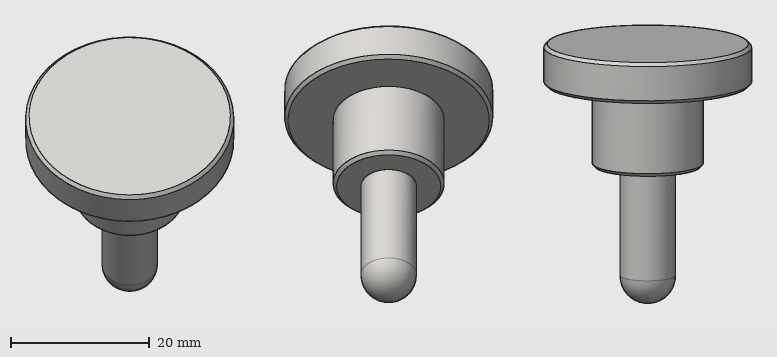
import cadquery as cq

total_height = 38.0
head_diameter = 30.0

head_thickness = 6.0
collar_diameter = 16.0
collar_height = 12.0
edge_chamfer = 0.5

pin_diameter = 8.0
tip_radius = pin_diameter / 2

head_bottom = total_height - head_thickness
collar_bottom = head_bottom - collar_height


def cylinder(diameter, bottom, top):
    """Vertical cylinder on the Z axis between two heights."""
    return cq.Workplane("XY").workplane(offset=bottom).circle(diameter / 2).extrude(top - bottom)


head = cylinder(head_diameter, head_bottom, total_height).edges().chamfer(edge_chamfer)

collar = cylinder(collar_diameter, collar_bottom, head_bottom).faces("<Z").edges().chamfer(edge_chamfer)

shaft = cylinder(pin_diameter, tip_radius, collar_bottom)
tip = cq.Workplane("XY").sphere(tip_radius).translate((0, 0, tip_radius))

result = head.union(collar).union(shaft).union(tip)